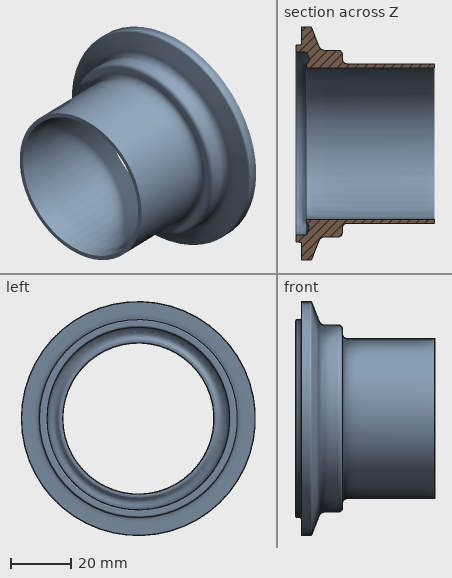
import cadquery as cq
import math

length = 46.0
bore_radius = 50.0 / 2
pipe_radius = 53.0 / 2
hub_radius = 62 / 2
lip_radius = 65.6 / 2
flange_radius = 77.5 / 2

flange_face_x = 1.85
flange_rim_end_x = 4.7
hub_end_x = 15.5

lip_fillet = 0.5
lip_root_fillet = 0.5
rim_fillet = 0.7
cone_root_fillet = 2.0
hub_end_fillet = 1.5
pipe_root_fillet = 1.55
cone_angle = math.radians(70)
cone_root_end_x = 9.6

groove_wall_radius = 30.2
groove_mouth_fillet = 0.55
groove_shoulder = (3.7, 29.6)
groove_bottom = (4.35, 28.2)
groove_inner_edge = (3.8, 26.6)
groove_inner_angle = math.radians(45)

rim_face_x = 3.5
bore_fillet = 0.4

QUARTER = math.pi / 2
HALF = math.pi


def arc_point(center, radius, angle):
    """Point on a circle in the (x, radius) half plane."""
    return (center[0] + radius * math.cos(angle), center[1] + radius * math.sin(angle))


def add_arc(profile, center, radius, start, end):
    """Add a circular arc from the current point at angle start to angle end."""
    middle = arc_point(center, radius, (start + end) / 2)
    return profile.threePointArc(middle, arc_point(center, radius, end))


def outer_profile(profile):
    """Sealing lip, flange, hub and pipe, drawn from the lip face to the pipe end."""
    profile = profile.lineTo(0, lip_radius - lip_fillet)
    profile = add_arc(profile, (lip_fillet, lip_radius - lip_fillet), lip_fillet, HALF, QUARTER)
    profile = profile.lineTo(flange_face_x - lip_root_fillet, lip_radius)
    lip_root_center = (flange_face_x - lip_root_fillet, lip_radius + lip_root_fillet)
    profile = add_arc(profile, lip_root_center, lip_root_fillet, -QUARTER, 0)

    cone_normal = QUARTER - cone_angle
    rim_center = (flange_rim_end_x, flange_radius - rim_fillet)
    cone_root_center = (cone_root_end_x, hub_radius + cone_root_fillet)
    profile = profile.lineTo(flange_face_x, flange_radius).lineTo(flange_rim_end_x, flange_radius)
    profile = add_arc(profile, rim_center, rim_fillet, QUARTER, cone_normal)
    profile = profile.lineTo(*arc_point(cone_root_center, cone_root_fillet, cone_normal - HALF))
    profile = add_arc(profile, cone_root_center, cone_root_fillet, cone_normal - HALF, -QUARTER)

    hub_end_center = (hub_end_x - hub_end_fillet, hub_radius - hub_end_fillet)
    pipe_root_center = (hub_end_x + pipe_root_fillet, pipe_radius + pipe_root_fillet)
    profile = profile.lineTo(hub_end_x - hub_end_fillet, hub_radius)
    profile = add_arc(profile, hub_end_center, hub_end_fillet, QUARTER, 0)
    profile = profile.lineTo(hub_end_x, pipe_radius + pipe_root_fillet)
    profile = add_arc(profile, pipe_root_center, pipe_root_fillet, -HALF, -QUARTER)
    return profile.lineTo(length, pipe_radius)


def inner_profile(profile):
    """Bore, bore rim and seal groove, drawn from the pipe end back to the lip face."""
    profile = profile.lineTo(length, bore_radius).lineTo(rim_face_x + bore_fillet, bore_radius)
    bore_edge_center = (rim_face_x + bore_fillet, bore_radius + bore_fillet)
    profile = add_arc(profile, bore_edge_center, bore_fillet, -QUARTER, -HALF)

    rim_edge_fillet = (groove_inner_edge[0] - rim_face_x) / (1 - math.cos(groove_inner_angle))
    rim_edge_center = (
        rim_face_x + rim_edge_fillet,
        groove_inner_edge[1] - rim_edge_fillet * math.sin(groove_inner_angle),
    )
    profile = profile.lineTo(rim_face_x, rim_edge_center[1])
    profile = add_arc(profile, rim_edge_center, rim_edge_fillet, HALF, HALF - groove_inner_angle)

    groove_points = [groove_bottom, groove_shoulder, (groove_mouth_fillet, groove_wall_radius)]
    inner_direction = (math.sin(groove_inner_angle), math.cos(groove_inner_angle))
    wall_direction = (-1, 0)
    profile = profile.spline(groove_points, tangents=[inner_direction, wall_direction], includeCurrent=True)

    mouth_center = (groove_mouth_fillet, groove_wall_radius + groove_mouth_fillet)
    return add_arc(profile, mouth_center, groove_mouth_fillet, -QUARTER, -HALF)


mouth_edge = (0, groove_wall_radius + groove_mouth_fillet)
ferrule_profile = inner_profile(outer_profile(cq.Workplane("XY").moveTo(*mouth_edge))).close()

result = ferrule_profile.revolve(360, (0, 0, 0), (1, 0, 0))